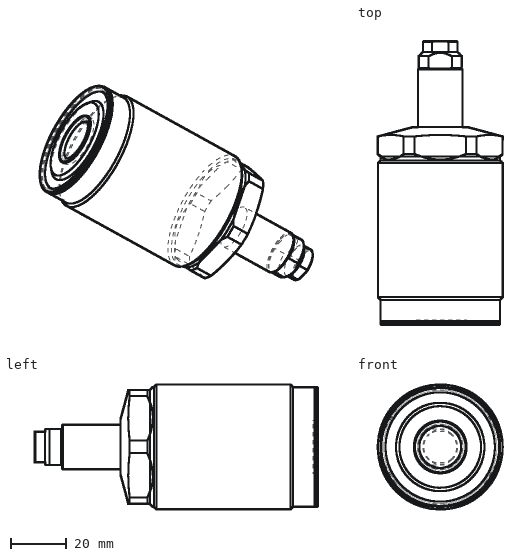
import cadquery as cq
import math

TOTAL_LENGTH = 102.0
EDGE_CHAMFER = 0.3

HOUSING_RADIUS = 22.49
SHOULDER_CHAMFER = 0.9
SPIGOT_RADIUS = HOUSING_RADIUS - SHOULDER_CHAMFER
SHOULDER_FRONT = 9.0
NECK_FRONT = 59.1
HEX_FRONT = 60.5
HOUSING_BACK = 71.1
HEX_ACROSS_FLATS = 41.0
HEX_SIDES = 6
CONE_TOP_RADIUS = 10.0
CONE_ANGLE = math.radians(15)
CONE_FRONT = HOUSING_BACK - (HOUSING_RADIUS - CONE_TOP_RADIUS) * math.tan(CONE_ANGLE)

RING_THICKNESS = 1.3
RING_BORE_RADIUS = 19.7
RIM_CHAMFER = 0.36
LIP_ROUNDING = 0.7

BOSS_FRONT = 0.1
BOSS_BASE_RADIUS = 15.9
BOSS_TOP_RADIUS = BOSS_BASE_RADIUS - (RING_THICKNESS - BOSS_FRONT)

INSERT_RADIUS = 9.5
INSERT_BACK = 1.7
DISH_RADIUS = 7.5
DISH_FLOOR = 1.1

STEM_RADIUS = 8.1
STEM_BACK = 92.1

COLLAR_RADIUS = 7.8
COLLAR_ACROSS_FLATS = 13.1
COLLAR_BACK = 98.1
TIP_RADIUS = 6.2
TIP_ACROSS_FLATS = 11.0


def revolve_outline(outline):
    """Turn a closed (radius, y) outline about the Y axis."""
    return outline.revolve(360, (0, 0, 0), (0, 1, 0))


def revolve_profile(points):
    """Turn a straight-sided profile, given by its (radius, y) corners."""
    return revolve_outline(cq.Workplane("XY").polyline(points).close())


def flat_slab(across_flats, y_start, y_end):
    """Slab that leaves two parallel flats facing +Z and -Z."""
    width = 2 * HOUSING_RADIUS
    return cq.Workplane("XY").box(width, y_end - y_start, across_flats).translate(
        (0, (y_start + y_end) / 2, 0))


def make_hex_flat_cutter():
    """Material above the +Z flat, with a 45 degree run-out towards the neck."""
    flat = HEX_ACROSS_FLATS / 2
    height = HOUSING_RADIUS - flat
    outline = [
        (HEX_FRONT, flat),
        (HOUSING_BACK, flat),
        (HOUSING_BACK, flat + height),
        (HEX_FRONT - height, flat + height),
    ]
    return cq.Workplane("YZ").polyline(outline).close().extrude(HOUSING_RADIUS, both=True)


def make_housing():
    body = revolve_profile([
        (0, BOSS_FRONT),
        (BOSS_TOP_RADIUS, BOSS_FRONT),
        (BOSS_BASE_RADIUS, RING_THICKNESS),
        (SPIGOT_RADIUS, RING_THICKNESS),
        (SPIGOT_RADIUS, SHOULDER_FRONT),
        (HOUSING_RADIUS, SHOULDER_FRONT + SHOULDER_CHAMFER),
        (HOUSING_RADIUS, NECK_FRONT - SHOULDER_CHAMFER),
        (SPIGOT_RADIUS, NECK_FRONT),
        (SPIGOT_RADIUS, HEX_FRONT),
        (HOUSING_RADIUS, HEX_FRONT + SHOULDER_CHAMFER),
        (HOUSING_RADIUS, CONE_FRONT),
        (CONE_TOP_RADIUS, HOUSING_BACK),
        (0, HOUSING_BACK),
    ])
    flat_cutter = make_hex_flat_cutter()
    for side in range(HEX_SIDES):
        body = body.cut(flat_cutter.rotate((0, 0, 0), (0, 1, 0), side * 360 / HEX_SIDES))
    insert_recess = cq.Workplane("XZ").circle(INSERT_RADIUS).extrude(-INSERT_BACK)
    return body.cut(insert_recess)


def lip_arc_middle(bore_radius, front):
    """Middle point of the arc that rounds a bore's edge at the given front plane."""
    inset = LIP_ROUNDING * (1 - math.sqrt(0.5))
    return (bore_radius + inset, front + inset)


def make_front_ring():
    outline = (
        cq.Workplane("XY")
        .moveTo(RING_BORE_RADIUS + LIP_ROUNDING, 0)
        .lineTo(SPIGOT_RADIUS - RIM_CHAMFER, 0)
        .lineTo(SPIGOT_RADIUS, RIM_CHAMFER)
        .lineTo(SPIGOT_RADIUS, RING_THICKNESS - RIM_CHAMFER)
        .lineTo(SPIGOT_RADIUS - RIM_CHAMFER, RING_THICKNESS)
        .lineTo(RING_BORE_RADIUS, RING_THICKNESS)
        .lineTo(RING_BORE_RADIUS, LIP_ROUNDING)
        .threePointArc(lip_arc_middle(RING_BORE_RADIUS, 0), (RING_BORE_RADIUS + LIP_ROUNDING, 0))
        .close()
    )
    return revolve_outline(outline)


def make_insert():
    outline = (
        cq.Workplane("XY")
        .moveTo(0, DISH_FLOOR)
        .lineTo(DISH_RADIUS, DISH_FLOOR)
        .lineTo(DISH_RADIUS, BOSS_FRONT + LIP_ROUNDING)
        .threePointArc(lip_arc_middle(DISH_RADIUS, BOSS_FRONT), (DISH_RADIUS + LIP_ROUNDING, BOSS_FRONT))
        .lineTo(INSERT_RADIUS - RIM_CHAMFER, BOSS_FRONT)
        .lineTo(INSERT_RADIUS, BOSS_FRONT + RIM_CHAMFER)
        .lineTo(INSERT_RADIUS, INSERT_BACK)
        .lineTo(0, INSERT_BACK)
        .close()
    )
    return revolve_outline(outline)


def make_stem():
    return revolve_profile([
        (0, HOUSING_BACK),
        (STEM_RADIUS, HOUSING_BACK),
        (STEM_RADIUS, STEM_BACK - EDGE_CHAMFER),
        (STEM_RADIUS - EDGE_CHAMFER, STEM_BACK),
        (0, STEM_BACK),
    ])


def make_connector():
    collar_chamfer = COLLAR_RADIUS - TIP_RADIUS
    collar = revolve_profile([
        (0, STEM_BACK),
        (COLLAR_RADIUS - EDGE_CHAMFER, STEM_BACK),
        (COLLAR_RADIUS, STEM_BACK + EDGE_CHAMFER),
        (COLLAR_RADIUS, COLLAR_BACK - collar_chamfer),
        (TIP_RADIUS, COLLAR_BACK),
        (0, COLLAR_BACK),
    ]).intersect(flat_slab(COLLAR_ACROSS_FLATS, STEM_BACK, COLLAR_BACK))
    tip = revolve_profile([
        (0, COLLAR_BACK),
        (TIP_RADIUS, COLLAR_BACK),
        (TIP_RADIUS, TOTAL_LENGTH - EDGE_CHAMFER),
        (TIP_RADIUS - EDGE_CHAMFER, TOTAL_LENGTH),
        (0, TOTAL_LENGTH),
    ]).intersect(flat_slab(TIP_ACROSS_FLATS, COLLAR_BACK, TOTAL_LENGTH))
    return collar.union(tip)


housing = make_housing()
front_ring = make_front_ring()
insert = make_insert()
stem = make_stem()
connector = make_connector()

result = cq.Compound.makeCompound([
    housing.val(),
    front_ring.val(),
    insert.val(),
    stem.val(),
    connector.val(),
])